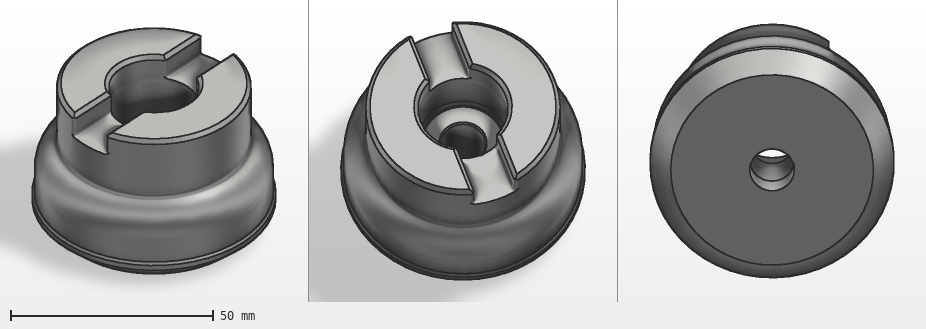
import cadquery as cq
import math

height = 40.0
hub_radius = 48.0 / 2
edge_chamfer = 1.0

skirt_radius = 59.0 / 2
dome_radius = 10.0
dome_start_z = 14.0
neck_fillet_radius = 2.0

rim_radius = 30.15
base_radius = 25.0
cone_height = 4.9
ring_chamfer = rim_radius - skirt_radius
ring_height = 7.0

slot_width = 10.4
slot_depth = 6.45
slot_floor_fillet = 0.7
upright_edge_radius = 0.85
slot_floor_z = height - slot_depth

mouth_radius = 22.2 / 2
mouth_end_z = 33.4
mouth_taper_length = 1.0
bore_radius = 22.0 / 2
floor_step_radius = 21.0 / 2
bore_floor_z = 20.0
floor_step_width = 0.35
floor_step_height = 0.2
floor_taper_height = 1.2
hole_radius = 11.0 / 2
hole_chamfer = 0.4


def revolve_profile(profile):
    """Turn a closed (radius, z) outline into a solid around the Z axis."""
    return profile.close().revolve(360, (0, 0, 0), (0, 1, 0))


def arc_point(center, radius, angle):
    """Point on a circle, in (radius, z) coordinates."""
    return (center[0] + radius * math.cos(angle), center[1] + radius * math.sin(angle))


def make_blank():
    """Hub, neck fillet, dome and skirt, standing on top of the ring."""
    dome_center = (skirt_radius - dome_radius, dome_start_z)
    center_distance = dome_radius + neck_fillet_radius
    neck_offset = hub_radius + neck_fillet_radius - dome_center[0]
    tangent_angle = math.acos(neck_offset / center_distance)
    neck_center = (
        hub_radius + neck_fillet_radius,
        dome_start_z + center_distance * math.sin(tangent_angle),
    )
    tangent_point = arc_point(dome_center, dome_radius, tangent_angle)
    dome_middle = arc_point(dome_center, dome_radius, tangent_angle / 2)
    neck_middle = arc_point(neck_center, neck_fillet_radius, math.pi + tangent_angle / 2)
    return revolve_profile(
        cq.Workplane("XZ")
        .moveTo(0, ring_height)
        .lineTo(skirt_radius, ring_height)
        .lineTo(skirt_radius, dome_start_z)
        .threePointArc(dome_middle, tangent_point)
        .threePointArc(neck_middle, (hub_radius, neck_center[1]))
        .lineTo(hub_radius, height - edge_chamfer)
        .lineTo(hub_radius - edge_chamfer, height)
        .lineTo(0, height)
    )


def make_bore():
    """Cutter for the stepped bore and the through hole below it."""
    floor_step_z = bore_floor_z + floor_step_height
    return revolve_profile(
        cq.Workplane("XZ")
        .moveTo(0, 0)
        .lineTo(hole_radius, 0)
        .lineTo(hole_radius, bore_floor_z - hole_chamfer)
        .lineTo(hole_radius + hole_chamfer, bore_floor_z)
        .lineTo(floor_step_radius - floor_step_width, bore_floor_z)
        .lineTo(floor_step_radius, floor_step_z)
        .lineTo(bore_radius, floor_step_z + floor_taper_height)
        .lineTo(bore_radius, mouth_end_z - mouth_taper_length)
        .lineTo(mouth_radius, mouth_end_z)
        .lineTo(mouth_radius, height - edge_chamfer)
        .lineTo(mouth_radius + edge_chamfer, height)
        .lineTo(0, height)
    )


def make_slot():
    """Cutter for the slot: rounded upright edges at the bore and hub, and filleted floor corners."""
    wall_x = slot_width / 2
    round_x = wall_x + upright_edge_radius
    hub_round_reach = hub_radius - upright_edge_radius
    bore_round_reach = mouth_radius + upright_edge_radius
    hub_round_center = (round_x, math.sqrt(hub_round_reach**2 - round_x**2))
    bore_round_center = (round_x, math.sqrt(bore_round_reach**2 - round_x**2))

    hub_angle = math.atan2(hub_round_center[1], round_x)
    bore_angle = math.atan2(bore_round_center[1], round_x)
    hub_touch = arc_point((0, 0), hub_radius, hub_angle)
    bore_touch = arc_point((0, 0), mouth_radius, bore_angle)
    hub_middle = arc_point(hub_round_center, upright_edge_radius, (math.pi + hub_angle) / 2)
    bore_middle = arc_point(bore_round_center, upright_edge_radius, bore_angle / 2 - math.pi)

    quarter = (
        cq.Workplane("XY", origin=(0, 0, slot_floor_z))
        .lineTo(bore_touch[0], 0)
        .lineTo(*bore_touch)
        .threePointArc(bore_middle, (wall_x, bore_round_center[1]))
        .lineTo(wall_x, hub_round_center[1])
        .threePointArc(hub_middle, hub_touch)
        .lineTo(hub_touch[0], rim_radius)
        .lineTo(0, rim_radius)
        .close()
        .extrude(slot_depth)
    )
    half = quarter.union(quarter.mirror("YZ"))
    slot = half.union(half.mirror("XZ")).clean()
    return slot.faces("<Z").edges("not(<Y or >Y)").fillet(slot_floor_fillet)


def make_slot_chamfer():
    """Trapezoidal cutter that chamfers the slot's top edges."""
    bottom_half = slot_width / 2
    top_half = bottom_half + edge_chamfer
    bottom_z = height - edge_chamfer
    corners = [(-bottom_half, bottom_z), (bottom_half, bottom_z), (top_half, height), (-top_half, height)]
    return cq.Workplane("XZ").polyline(corners).close().extrude(rim_radius, both=True)


def make_housing():
    return make_blank().cut(make_bore()).cut(make_slot()).cut(make_slot_chamfer())


def make_ring():
    """Bottom ring with a chamfered rim and a conical underside."""
    return revolve_profile(
        cq.Workplane("XZ")
        .moveTo(hole_radius, 0)
        .lineTo(base_radius, 0)
        .lineTo(rim_radius, cone_height)
        .lineTo(rim_radius, ring_height - ring_chamfer)
        .lineTo(skirt_radius, ring_height)
        .lineTo(hole_radius, ring_height)
    )


housing = make_housing()
ring = make_ring()

result = cq.Compound.makeCompound([housing.val(), ring.val()])